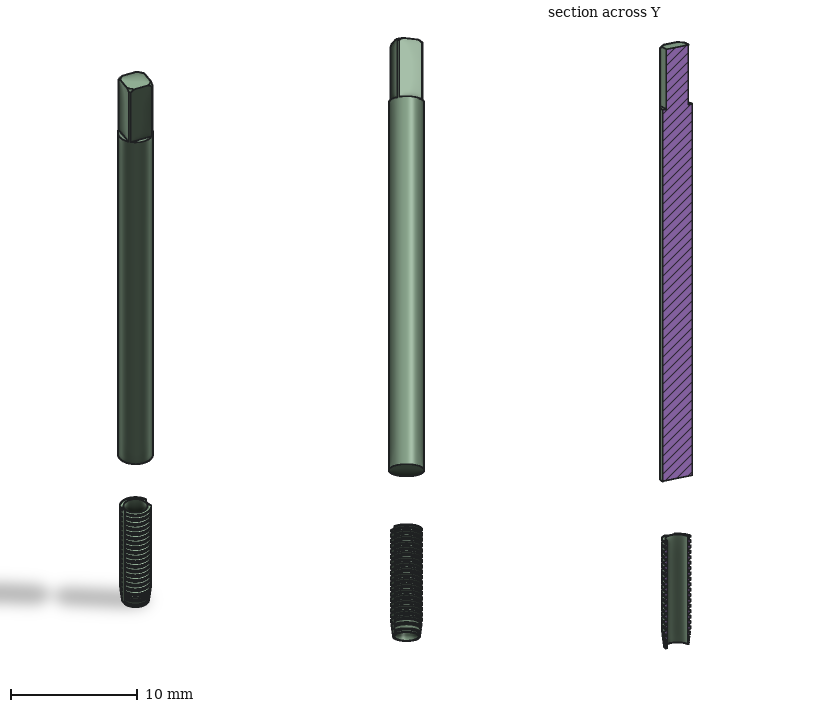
import cadquery as cq
import math

pitch = 0.45
pitch_count = 20
thread_length = pitch_count * pitch
crest_radius = 1.25
thread_depth = 0.175
root_radius = crest_radius - thread_depth
root_width = 0.1
flank_angle = 30.0
flank_height = thread_depth * math.tan(math.radians(flank_angle))
lead_length = 1.35
bore_radius = 0.95

flute_radius = 0.9
flute_depth = 0.225
flute_axis_offset = crest_radius - flute_depth + flute_radius

neck_gap = 5.0
shank_length = 31.0
shank_radius = 1.4
shank_bottom = thread_length + neck_gap
square_bottom = shank_bottom + shank_length
square_length = 5.0
square_width = 2.1
tip_chamfer = 0.2


def make_shank():
    """Round shank with a square drive whose corners are rounded and chamfered by turning."""
    shank = cq.Workplane("XY", origin=(0, 0, shank_bottom)).circle(shank_radius).extrude(shank_length)
    drive_plane = cq.Workplane("XY", origin=(0, 0, square_bottom))
    square = drive_plane.rect(square_width, square_width).extrude(square_length)
    turned_tip = drive_plane.circle(shank_radius).extrude(square_length).faces(">Z").chamfer(tip_chamfer)
    return shank.union(square.intersect(turned_tip))


def make_thread_groove(root_z):
    """Ring with the trapezoidal section of one thread groove, centred at height root_z."""
    half_root = root_width / 2
    half_mouth = half_root + flank_height
    return (
        cq.Workplane("XZ")
        .moveTo(root_radius, root_z - half_root)
        .lineTo(crest_radius, root_z - half_mouth)
        .lineTo(crest_radius, root_z + half_mouth)
        .lineTo(root_radius, root_z + half_root)
        .close()
        .revolve(360, (0, 0), (0, 1))
    )


def make_blank():
    """Plain sleeve with a through bore, tapering at its lower end from crest to root radius."""
    return (
        cq.Workplane("XZ")
        .moveTo(bore_radius, 0)
        .lineTo(root_radius, 0)
        .lineTo(crest_radius, lead_length)
        .lineTo(crest_radius, thread_length)
        .lineTo(bore_radius, thread_length)
        .close()
        .revolve(360, (0, 0), (0, 1))
    )


def make_thread():
    """Sleeve with evenly spaced ring grooves and two flutes along its full length."""
    sleeve = make_blank()
    for index in range(pitch_count):
        sleeve = sleeve.cut(make_thread_groove((index + 0.5) * pitch))
    for side in (-1, 1):
        flute = (
            cq.Workplane("XY")
            .center(0, side * flute_axis_offset)
            .circle(flute_radius)
            .extrude(thread_length)
        )
        sleeve = sleeve.cut(flute)
    return sleeve


shank = make_shank()
thread = make_thread()

result = cq.Compound.makeCompound([shank.solids().val(), thread.solids().val()])